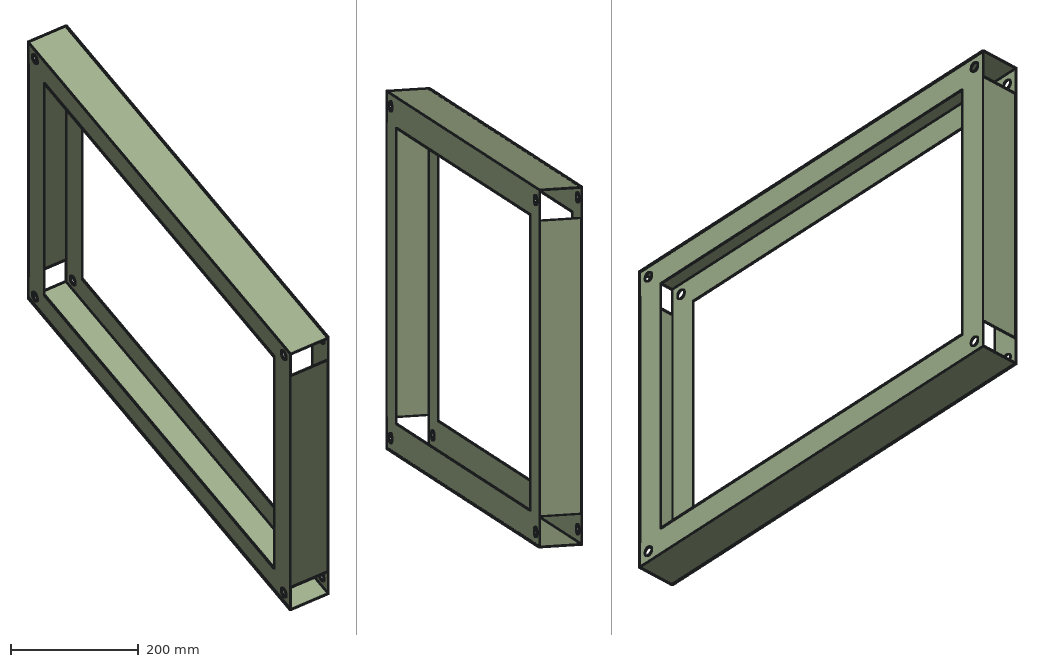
import cadquery as cq

length = 800.0
depth = 70.0
height = 573.0
sheet = 1.2

border = 50.0
hole_diameter = 16.0
hole_inset = 21.0


def face_ring():
    """Rectangular sheet ring with a hole in each corner, centred on the origin."""
    ring = cq.Workplane("XY").box(length, sheet, height)
    opening = cq.Workplane("XY").box(length - 2 * border, 2 * sheet, height - 2 * border)
    holes = (
        cq.Workplane("XZ")
        .rect(length - 2 * hole_inset, height - 2 * hole_inset, forConstruction=True)
        .vertices()
        .circle(hole_diameter / 2)
        .extrude(sheet, both=True)
    )
    return ring.cut(opening).cut(holes)


ring_offset = (depth - sheet) / 2
frame = face_ring().translate((0, -ring_offset, 0))
frame = frame.union(face_ring().translate((0, ring_offset, 0)))

for side in (-1, 1):
    long_web = cq.Workplane("XY").box(length, depth, sheet)
    frame = frame.union(long_web.translate((0, 0, side * (height - sheet) / 2)))
    end_web = cq.Workplane("XY").box(sheet, depth, height - 2 * border)
    frame = frame.union(end_web.translate((side * (length - sheet) / 2, 0, 0)))

result = frame